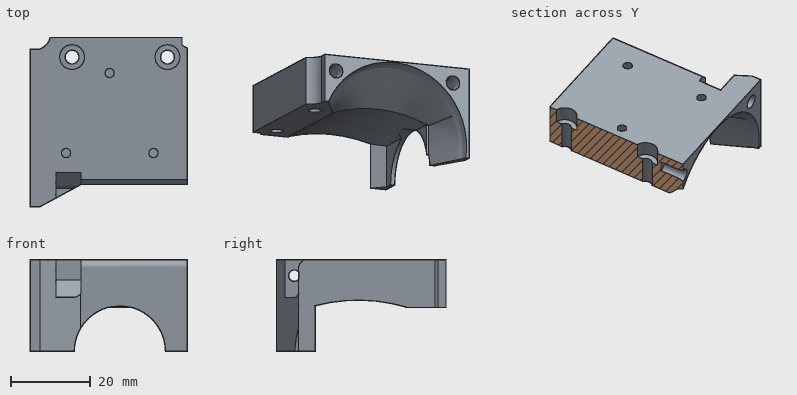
import cadquery as cq
import math

length_x = 39.5
length_y = 42.5
height = 23.0
plate_bottom = 10.95
wall_back = 9.78
front_face = 5.52
overshoot = 0.42

cheek_flat = 2.5
cheek_end = 12.7
left_notch_y = 39.52
notch_arc_start = 2.2
notch_arc_mid = (4.15, 40.75)
notch_arc_end = 5.05
right_notch_x = 38.12
right_notch_inner_y = 40.5
right_notch_outer_y = 39.8

bevel = 0.95
bevel_round_radius = 1.5

pocket_left = 6.5
pocket_right = 12.85
pocket_back = 8.55
pocket_slope_top = 17.85
pocket_slope_front = 4.95
pocket_slope_bottom = 13.7
pocket_floor_start = 4.55
pocket_floor = 13.47

fan_y = 20.5
fan_z = 2.98
fan_hole_spacing = 32.0
fan_hole_offset = fan_hole_spacing / 2
fan_hole_mouth = 3.65
fan_hole_diameter = 2.8
fan_hole_taper = 1.5
fan_hole_depth = 6.5
rim_stations = [(0.0, 19.7), (1.5, 19.3), (2.35, 18.8)]

duct_start = 11.48
duct_front = 6.15
duct_back = 32.4
duct_front_top = 10.3
duct_back_top = 11.1
duct_crown = 13.2
rim_split_angle = 25.6
duct_exit_drop = 0.42

arch_x = 22.52
arch_radius = 11.4
arch_lip_back = 6.67

screw_y = 37.53
screw_xs = (10.55, 34.45)
screw_diameter = 3.4
counterbore_diameter = 6.2
counterbore_depth = 4.1

pin_centres = [(9.05, 13.47), (30.95, 13.47), (19.98, 33.55)]
pin_diameter = 2.3
pin_depth = 4.25


def box(x0, x1, y0, y1, z0, z1):
    """Axis-aligned box between two corners."""
    return cq.Workplane("XY").box(x1 - x0, y1 - y0, z1 - z0, centered=False).translate((x0, y0, z0))


def make_block():
    """Plate outline with the thick front wall left standing below the plate."""
    block = (
        cq.Workplane("XY")
        .moveTo(0, 0)
        .lineTo(cheek_flat, 0)
        .lineTo(cheek_end, front_face)
        .lineTo(length_x, front_face)
        .lineTo(length_x, right_notch_outer_y)
        .lineTo(right_notch_x, right_notch_inner_y)
        .lineTo(right_notch_x, length_y)
        .lineTo(notch_arc_end, length_y)
        .threePointArc(notch_arc_mid, (notch_arc_start, left_notch_y))
        .lineTo(0, left_notch_y)
        .close()
        .extrude(height)
    )
    return block.cut(
        box(-overshoot, length_x + overshoot, wall_back, length_y + overshoot, -overshoot, plate_bottom)
    )


def front_edge_cutter():
    """45 degree bevel blending through an arc into the front face."""
    diagonal = math.radians(45)
    half_angle = diagonal / 2
    arc_depth = bevel_round_radius * (1 - math.cos(diagonal))
    arc_drop = bevel_round_radius * math.sin(diagonal)
    mid_depth = bevel_round_radius * (1 - math.cos(half_angle))
    mid_drop = bevel_round_radius * math.sin(half_angle)
    arc_bottom = height - bevel - arc_drop
    return (
        cq.Workplane("YZ", origin=(pocket_right, 0, 0))
        .moveTo(front_face + arc_depth + bevel, height)
        .lineTo(front_face + arc_depth, height - bevel)
        .threePointArc((front_face + mid_depth, arc_bottom + mid_drop), (front_face, arc_bottom))
        .lineTo(front_face - overshoot, arc_bottom)
        .lineTo(front_face - overshoot, height)
        .close()
        .extrude(length_x - pocket_right)
    )


def pocket_cutter():
    """Pocket with a vertical back, a sloped ramp and a flat floor."""
    return (
        cq.Workplane("YZ", origin=(pocket_left, 0, 0))
        .moveTo(pocket_back, height)
        .lineTo(pocket_back, pocket_slope_top)
        .lineTo(pocket_slope_front, pocket_slope_bottom)
        .lineTo(pocket_floor_start, pocket_floor)
        .lineTo(-overshoot, pocket_floor)
        .lineTo(-overshoot, height)
        .close()
        .extrude(pocket_right - pocket_left)
    )


def fan_rim_cutter():
    """Tapering round mouth of the duct."""
    profile = cq.Workplane("XY").moveTo(0, 0)
    for depth, radius in rim_stations:
        profile = profile.lineTo(depth, radius)
    profile = profile.lineTo(rim_stations[-1][0], 0).close()
    return profile.revolve(360, (0, 0, 0), (1, 0, 0)).translate((0, fan_y, fan_z))


def circle_section(x, radius):
    """Circle around the fan axis as four arcs split where the duct corners begin."""
    angle = math.radians(rim_split_angle)
    reach = radius * math.cos(angle)
    rise = radius * math.sin(angle)
    return (
        cq.Workplane("YZ", origin=(x, fan_y, fan_z))
        .moveTo(-reach, rise)
        .threePointArc((0, radius), (reach, rise))
        .threePointArc((radius, 0), (reach, -rise))
        .threePointArc((0, -radius), (-reach, -rise))
        .threePointArc((-radius, 0), (-reach, rise))
        .close()
        .val()
    )


def duct_section(x, crown):
    """Straight-sided section with a shallow crown, mirrored about the fan axis height."""
    middle = (duct_front + duct_back) / 2
    return (
        cq.Workplane("YZ", origin=(x, 0, 0))
        .moveTo(duct_front, duct_front_top)
        .threePointArc((middle, crown), (duct_back, duct_back_top))
        .lineTo(duct_back, 2 * fan_z - duct_back_top)
        .threePointArc((middle, 2 * fan_z - crown), (duct_front, 2 * fan_z - duct_front_top))
        .close()
        .val()
    )


def duct_cutter():
    """Converging stretch behind the fan, then the passage to the +X end."""
    rim_depth, rim_radius = rim_stations[-1]
    duct_inlet = duct_section(duct_start, duct_crown)
    converging = cq.Solid.makeLoft([circle_section(rim_depth, rim_radius), duct_inlet], True)
    passage = cq.Solid.makeLoft([duct_inlet, duct_section(length_x, duct_crown - duct_exit_drop)], True)
    wedge_run = wall_back - arch_lip_back
    leg_wedge = (
        cq.Workplane("XY", origin=(0, 0, -height))
        .moveTo(duct_start, duct_front - overshoot)
        .lineTo(duct_start, arch_lip_back)
        .lineTo(length_x - wedge_run, arch_lip_back)
        .lineTo(length_x, wall_back)
        .lineTo(length_x, duct_front - overshoot)
        .close()
        .extrude(2 * height)
    )
    return cq.Workplane(converging).add(cq.Workplane(passage).cut(leg_wedge)).combine()


def arch_cutter():
    """Round cutter along Y that opens the front wall as a half-round arch."""
    return (
        cq.Workplane("XZ")
        .center(arch_x, 0)
        .circle(arch_radius)
        .extrude(-wall_back)
    )


def fan_hole_cutter(y):
    """Screw hole with a tapered mouth in the -X face."""
    hole = (
        cq.Workplane("XY")
        .moveTo(0, 0)
        .lineTo(0, fan_hole_mouth / 2)
        .lineTo(fan_hole_taper, fan_hole_diameter / 2)
        .lineTo(fan_hole_depth, fan_hole_diameter / 2)
        .lineTo(fan_hole_depth, 0)
        .close()
        .revolve(360, (0, 0, 0), (1, 0, 0))
    )
    return hole.translate((0, y, fan_z + fan_hole_offset))


result = make_block()
result = result.cut(front_edge_cutter()).cut(pocket_cutter())
result = result.cut(fan_rim_cutter()).cut(duct_cutter()).cut(arch_cutter())

for side in (-1, 1):
    result = result.cut(fan_hole_cutter(fan_y + side * fan_hole_offset))

top_plane = cq.Workplane("XY", origin=(0, 0, height))
screw_centres = [(x, screw_y) for x in screw_xs]
result = result.cut(top_plane.pushPoints(screw_centres).circle(screw_diameter / 2).extrude(-height))
result = result.cut(
    top_plane.pushPoints(screw_centres).circle(counterbore_diameter / 2).extrude(-counterbore_depth)
)
result = result.cut(top_plane.pushPoints(pin_centres).circle(pin_diameter / 2).extrude(-pin_depth))